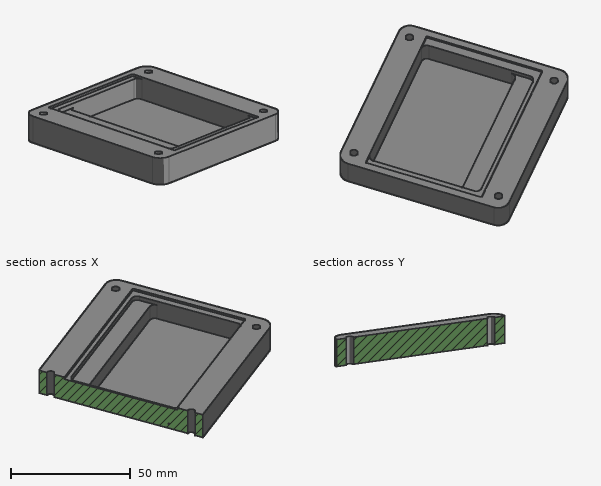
import cadquery as cq

LENGTH_X = 78.0
LENGTH_Y = 75.2
HEIGHT = 12.0
CORNER_RADIUS = 5.0

HOLE_DIAMETER = 3.25
HOLE_SPACING_X = 65.4
HOLE_SPACING_Y = 64.6

RECESS_X = 71.7
RECESS_Y = 51.7
RECESS_DEPTH = 1.0
RECESS_CORNER_RADIUS = 0.5

POCKET_X = 65.2
POCKET_CENTER_X = -0.45
POCKET_CORNER_RADIUS = 2.3
SHELF_Y = 49.8
SHELF_DEPTH = 3.0
DEEP_Y = 41.7
DEEP_DEPTH = 10.0

POCKET_BACK_Y = RECESS_Y / 2


def sunk_box(size_x, size_y, depth, corner_radius, center_x, center_y):
    """Rounded rectangular cutter reaching the given depth below the top face."""
    return (
        cq.Workplane("XY", origin=(center_x, center_y, HEIGHT - depth))
        .rect(size_x, size_y)
        .extrude(depth)
        .edges("|Z")
        .fillet(corner_radius)
    )


def pocket_level(size_y, depth):
    """One level of the stepped pocket, measured forward from the back wall."""
    center_y = POCKET_BACK_Y - size_y / 2
    return sunk_box(POCKET_X, size_y, depth, POCKET_CORNER_RADIUS, POCKET_CENTER_X, center_y)


def corner_holes():
    """Cutters for the four through holes."""
    return (
        cq.Workplane("XY")
        .rect(HOLE_SPACING_X, HOLE_SPACING_Y, forConstruction=True)
        .vertices()
        .circle(HOLE_DIAMETER / 2)
        .extrude(HEIGHT)
    )


block = (
    cq.Workplane("XY")
    .box(LENGTH_X, LENGTH_Y, HEIGHT, centered=(True, True, False))
    .edges("|Z")
    .fillet(CORNER_RADIUS)
)

result = (
    block
    .cut(sunk_box(RECESS_X, RECESS_Y, RECESS_DEPTH, RECESS_CORNER_RADIUS, 0, 0))
    .cut(pocket_level(SHELF_Y, SHELF_DEPTH))
    .cut(pocket_level(DEEP_Y, DEEP_DEPTH))
    .cut(corner_holes())
)